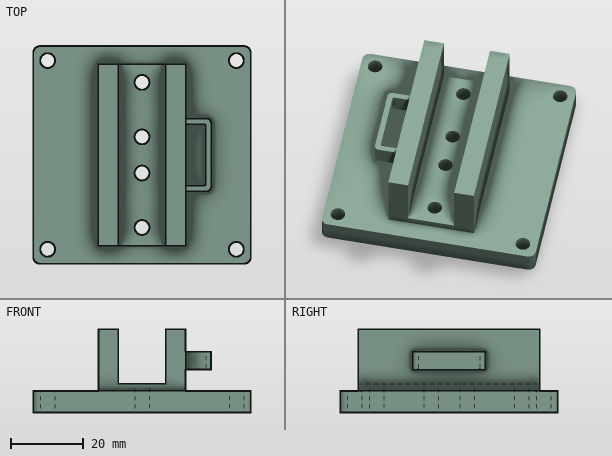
import cadquery as cq

base_side = 60.0
base_thickness = 6.0
base_corner_radius = 2.0
hole_diameter = 4.0
corner_hole_offset = 26.0

channel_length = 50.0
channel_width = 24.0
floor_thickness = 2.0
wall_thickness = 5.5
wall_height = 15.0
inner_hole_offset = 5.0
outer_hole_offset = 20.0

handle_reach = 7.0
handle_length = 20.0
handle_height = 5.0
handle_bottom = 11.8
handle_side_thickness = 1.5
handle_corner_radius = 1.2
handle_inner_radius = 0.5

floor_top = base_thickness + floor_thickness


def make_base():
    plate = cq.Workplane("XY").rect(base_side, base_side).extrude(base_thickness)
    return plate.edges("|Z").fillet(base_corner_radius)


def make_channel():
    floor = (
        cq.Workplane("XY", origin=(0, 0, base_thickness))
        .rect(channel_width, channel_length)
        .extrude(floor_thickness)
    )
    wall_center = (channel_width - wall_thickness) / 2
    walls = (
        cq.Workplane("XY", origin=(0, 0, floor_top))
        .pushPoints([(-wall_center, 0), (wall_center, 0)])
        .rect(wall_thickness, channel_length)
        .extrude(wall_height)
    )
    return floor.union(walls)


def handle_block(reach, length, corner_radius):
    """Block standing out from the +X wall, rounded at its two outer corners."""
    block = (
        cq.Workplane("XY", origin=(channel_width / 2 + reach / 2, 0, handle_bottom))
        .rect(reach, length)
        .extrude(handle_height)
    )
    return block.edges("|Z and >X").fillet(corner_radius)


def make_handle():
    outer = handle_block(handle_reach, handle_length, handle_corner_radius)
    opening = handle_block(
        handle_reach - handle_side_thickness,
        handle_length - 2 * handle_side_thickness,
        handle_inner_radius,
    )
    return outer.cut(opening)


def make_holes():
    """Cylinders for the corner holes and the row along the channel floor."""
    corner_points = [
        (x * corner_hole_offset, y * corner_hole_offset) for x in (-1, 1) for y in (-1, 1)
    ]
    row_points = [
        (0, side * offset) for side in (-1, 1) for offset in (inner_hole_offset, outer_hole_offset)
    ]
    return (
        cq.Workplane("XY")
        .pushPoints(corner_points + row_points)
        .circle(hole_diameter / 2)
        .extrude(floor_top)
    )


result = make_base().union(make_channel()).union(make_handle()).cut(make_holes())